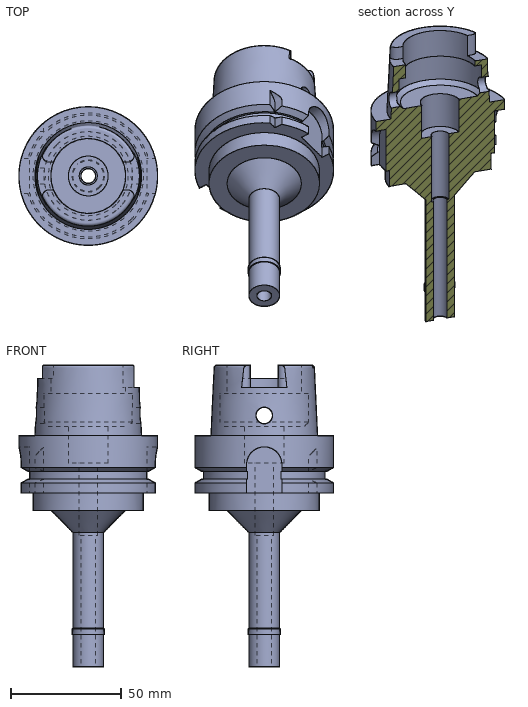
import cadquery as cq
import math


overall_length = 137.0
shank_height = 32.0
flange_height = 26.0
collar_height = 8.0
cone_height = 10.0
shank_top = shank_height
flange_bottom = -flange_height
collar_bottom = flange_bottom - collar_height
cone_bottom = collar_bottom - cone_height
stem_bottom = shank_top - overall_length

shank_base_radius = 24.2
shank_top_radius = 22.7
shank_edge_fillet = 1.4
flange_radius = 31.5
collar_radius = 25.1
stem_radius = 7.0
cone_top_radius = 16.9

groove_center_z = -18.0
groove_mouth_width = 7.0
groove_neck_width = 3.5
groove_floor_radius = 27.7
groove_flank_angle = 30
groove_flank_height = (groove_mouth_width - groove_neck_width) / 2
groove_neck_radius = flange_radius - groove_flank_height / math.tan(math.radians(groove_flank_angle))

mouth_radius = 17.0
mouth_depth = 12.9
chamber_radius = 20.1
chamber_floor_z = 4.1
chamber_chamfer = 2.0
socket_radius = 9.0
socket_depth = 16.5
channel_radius = 4.1
channel_depth = 32.9
through_radius = 3.3

notch_width = 12.6
notch_corner_radius = 3.0
notch_flat_x = 20.8
shallow_notch_depth = 6.0
deep_notch_depth = 10.1

cross_hole_radius = 3.7
cross_hole_z = 9.2

slot_width = 16.0
slot_top_z = -5.1
slot_floor_x = 26.6

corner_notch_x = -20.4
corner_notch_y = 20.1
corner_notch_bend_z = -10.7
corner_notch_bend_radius = 3.3
corner_notch_runout_angle = 45

ring_thickness = 0.34
ring_outer_radius = stem_radius + ring_thickness
ring_top_z = -87.3
ring_height = 3.0
ring_lead_height = 0.4


def turned(points):
    """Solid of revolution about Z from a closed (radius, height) outline."""
    return cq.Workplane("YZ").polyline(points).close().revolve(360, (0, 0, 0), (0, 1, 0))


def disc(radius, bottom_z, top_z):
    return cq.Workplane("XY").workplane(offset=bottom_z).circle(radius).extrude(top_z - bottom_z)


def shank():
    points = [
        (0, 0),
        (shank_base_radius, 0),
        (shank_top_radius, shank_top),
        (0, shank_top),
    ]
    return turned(points).faces(">Z").edges().fillet(shank_edge_fillet)


def flange_and_stem():
    mouth_top = groove_center_z + groove_mouth_width / 2
    mouth_bottom = groove_center_z - groove_mouth_width / 2
    neck_top = groove_center_z + groove_neck_width / 2
    neck_bottom = groove_center_z - groove_neck_width / 2
    return turned([
        (0, 0),
        (flange_radius, 0),
        (flange_radius, mouth_top),
        (groove_neck_radius, neck_top),
        (groove_floor_radius, neck_top),
        (groove_floor_radius, neck_bottom),
        (groove_neck_radius, neck_bottom),
        (flange_radius, mouth_bottom),
        (flange_radius, flange_bottom),
        (collar_radius, flange_bottom),
        (collar_radius, collar_bottom),
        (cone_top_radius, collar_bottom),
        (stem_radius, cone_bottom),
        (stem_radius, stem_bottom),
        (0, stem_bottom),
    ])


def bore():
    mouth_bottom = shank_top - mouth_depth
    socket_bottom = chamber_floor_z - socket_depth
    channel_bottom = socket_bottom - channel_depth
    chamber = disc(chamber_radius, chamber_floor_z, mouth_bottom)
    chamber = chamber.faces("<Z").edges().chamfer(chamber_chamfer)
    return (
        disc(mouth_radius, mouth_bottom, shank_top)
        .union(chamber)
        .union(disc(socket_radius, socket_bottom, chamber_floor_z))
        .union(disc(channel_radius, channel_bottom, socket_bottom))
        .union(disc(through_radius, stem_bottom, channel_bottom))
    )


def drive_notch(depth):
    """Notch toward +X with rounded corners where its sides flare out to the flat outer ends."""
    half_width = notch_width / 2
    flare_half_width = half_width + notch_corner_radius
    corner_start_x = notch_flat_x - notch_corner_radius
    corner_middle_x = corner_start_x + notch_corner_radius * math.sin(math.pi / 4)
    corner_middle_y = flare_half_width - notch_corner_radius * math.cos(math.pi / 4)
    return (
        cq.Workplane("XY")
        .workplane(offset=shank_top - depth)
        .moveTo(0, -half_width)
        .lineTo(corner_start_x, -half_width)
        .threePointArc((corner_middle_x, -corner_middle_y), (notch_flat_x, -flare_half_width))
        .lineTo(notch_flat_x, -shank_base_radius)
        .lineTo(shank_base_radius, -shank_base_radius)
        .lineTo(shank_base_radius, shank_base_radius)
        .lineTo(notch_flat_x, shank_base_radius)
        .lineTo(notch_flat_x, flare_half_width)
        .threePointArc((corner_middle_x, corner_middle_y), (corner_start_x, half_width))
        .lineTo(0, half_width)
        .close()
        .extrude(depth)
    )


def cross_hole():
    return (
        cq.Workplane("YZ")
        .center(0, cross_hole_z)
        .circle(cross_hole_radius)
        .extrude(shank_base_radius, both=True)
    )


def drive_slot(side):
    """Flat-floored slot with a round upper end, open at the bottom of the flange."""
    half_width = slot_width / 2
    shoulder_z = slot_top_z - half_width
    return (
        cq.Workplane("YZ")
        .workplane(offset=side * slot_floor_x)
        .moveTo(-half_width, flange_bottom)
        .lineTo(-half_width, shoulder_z)
        .threePointArc((0, slot_top_z), (half_width, shoulder_z))
        .lineTo(half_width, flange_bottom)
        .close()
        .extrude(side * (flange_radius - slot_floor_x))
    )


def orientation_notch():
    """Corner cut with a flat floor that bends outward and runs out of the flange at its upper end."""
    bend = math.radians(corner_notch_runout_angle)
    bend_center_y = corner_notch_y + corner_notch_bend_radius

    def bend_point(angle):
        return (
            bend_center_y - corner_notch_bend_radius * math.cos(angle),
            corner_notch_bend_z + corner_notch_bend_radius * math.sin(angle),
        )

    bend_end_y, bend_end_z = bend_point(bend)
    runout_z = bend_end_z + (flange_radius - bend_end_y) / math.tan(bend)
    return (
        cq.Workplane("YZ")
        .workplane(offset=corner_notch_x)
        .moveTo(corner_notch_y, flange_bottom)
        .lineTo(corner_notch_y, corner_notch_bend_z)
        .threePointArc(bend_point(bend / 2), (bend_end_y, bend_end_z))
        .lineTo(flange_radius, runout_z)
        .lineTo(flange_radius, flange_bottom)
        .close()
        .extrude(-flange_radius)
    )


def make_holder():
    body = shank().union(flange_and_stem()).cut(bore())
    body = body.cut(drive_notch(deep_notch_depth))
    body = body.cut(drive_notch(shallow_notch_depth).rotate((0, 0, 0), (0, 0, 1), 180))
    body = body.cut(cross_hole())
    for side in (-1, 1):
        body = body.cut(drive_slot(side))
    return body.cut(orientation_notch())


def make_ring():
    ring_bottom_z = ring_top_z - ring_height
    return turned([
        (stem_radius, ring_top_z),
        (ring_outer_radius, ring_top_z - ring_lead_height),
        (ring_outer_radius, ring_bottom_z),
        (stem_radius, ring_bottom_z),
    ])


holder = make_holder()
ring = make_ring()

result = cq.Compound.makeCompound([holder.val(), ring.val()])